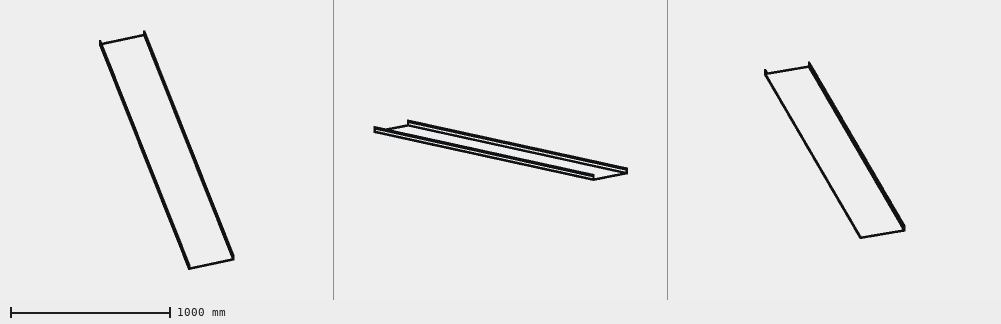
import cadquery as cq

length = 2000.0
width = 290.0
height = 30.0

sheet = 1.0
band_height = 7.0
band_step = 0.5

outer_y = -width / 2
wall_y = outer_y + band_step


def strip(y_size, z_size, y_min, z_min):
    """Full-length rectangular strip placed by its lower corner in Y and Z."""
    box = cq.Workplane("XY").box(length, y_size, z_size, centered=(True, False, False))
    return box.translate((0, y_min, z_min))


def side_wall():
    """Wall at -Y, thickened outward along its top edge."""
    wall = strip(sheet, height, wall_y, 0)
    band = strip(band_step + sheet, band_height, outer_y, height - band_height)
    return wall.union(band)


floor = strip(-2 * wall_y, sheet, wall_y, 0)
front_wall = side_wall()
back_wall = front_wall.mirror("XZ")
result = floor.union(front_wall).union(back_wall)